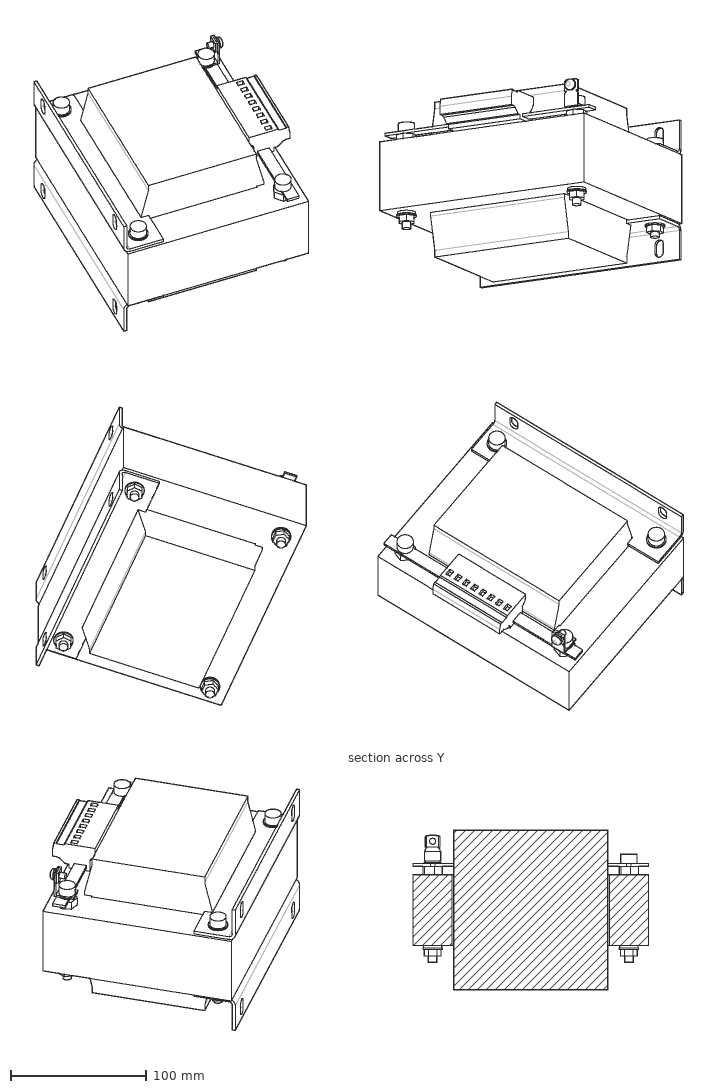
import cadquery as cq


core_x = 174.0
core_y = 145.1
core_z = 52.5
limb_width = core_x / 6
window_x = core_x - 2 * limb_width
window_y = core_y - 2 * limb_width
core_top = core_z / 2

coil_x = 114.0
coil_z = 118.0
coil_crown_y = 86.7
coil_base_y = 98.5
coil_crown_start = 54.0
coil_base_end = 29.0

sheet = 2.5
bracket_x = 169.8
bracket_top = 53.0
flange_back = -43.2
bend_inner_radius = 2.5
bend_outer_radius = bend_inner_radius + sheet
bracket_front = -core_y / 2 - sheet
slot_x = 67.7
slot_z = 42.8
slot_length = 13.0
slot_width = 7.0

bolt_x = (core_x - limb_width) / 2
bolt_y = (core_y - limb_width) / 2
head_diameter = 12.2
head_height = 6.8
stud_diameter = 6.5
nut_diameter = 12.5
nut_height = 4.7
washer_diameter = 14.5
washer_thickness = 1.0
spring_washer_diameter = 13.5
spring_washer_thickness = 2.0
front_stud_end = -38.0
rear_stud_end = -38.6
hex_turn = -20.0
rear_nut_turn = 0.0

spacer_diameter = 15.3
spacer_height = 6.1
rail_bottom = core_top + spacer_height
rail_thickness = 2.1
rail_top = rail_bottom + rail_thickness
rail_front = 55.3
rail_back = 64.9

block_x = 60.9
block_front = 48.7
block_back = core_y / 2 + 9.0
block_top = 50.6
block_bottom = 29.8
foot_front = 52.9
foot_back = 68.9
foot_front_top = 38.8
front_face_bottom = 44.9
step_y = 71.9
step_z = 33.0
underside_y = 76.0
underside_z = 37.0
nose_y = 78.6
nose_bottom = 38.0
nose_top = 44.2
lip_back = 80.5
lip_front = 78.8
lip_top = 50.0
ledge_back = 78.5
ledge_front = 72.9
ledge_z = 49.5
terminal_count = 8
terminal_pitch = 7.5
terminal_x = 3.5
terminal_y = 4.9
terminal_depth = 3.5
terminal_centre_y = 66.0

tab_x = 11.1
tab_sheet = 1.4
tab_front = 51.3
tab_back = 66.5
tab_top = 55.3
tongue_x = 8.4
tongue_corner = 1.5
tongue_shoulder = 44.9
tab_washer_diameter = 12.5
tab_washer_thickness = 0.5
tab_bottom = rail_top + tab_washer_thickness
earth_z = 50.8
earth_washer_diameter = 8.0
earth_washer_thickness = 1.4
earth_head_diameter = 8.5
earth_head_height = 2.8
earth_head_round = 2.6
earth_plate_x = 9.0
earth_plate_z = 8.5
earth_plate_y = 1.5
clamp_plate_z = 8.5
clamp_plate_corner = 1.0
earth_screw_diameter = 4.5
earth_screw_end = 59.3


def box_between(x_range, y_range, z_range):
    """Box given by its lower and upper limits along each axis."""
    (x0, x1), (y0, y1), (z0, z1) = x_range, y_range, z_range
    return cq.Workplane("XY").box(x1 - x0, y1 - y0, z1 - z0, centered=False).translate((x0, y0, z0))


def disc(x, y, bottom, diameter, height):
    """Upright cylinder standing on the height `bottom`."""
    return cq.Workplane("XY").circle(diameter / 2).extrude(height).translate((x, y, bottom))


def hexagon(x, y, bottom, corner_diameter, height, turn):
    """Upright hexagonal prism, turned about its own axis."""
    prism = cq.Workplane("XY").polygon(6, corner_diameter).extrude(height)
    return prism.rotate((0, 0, 0), (0, 0, 1), turn).translate((x, y, bottom))


def profile_along_x(points, length):
    """Closed Y-Z outline extruded symmetrically about X = 0."""
    return cq.Workplane("YZ").polyline(points).close().extrude(length / 2, both=True)


def make_core():
    core = cq.Workplane("XY").box(core_x, core_y, core_z)
    window = cq.Workplane("XY").box(window_x, window_y, core_z)
    return core.cut(window)


def make_coil():
    """Winding in the core window, with a tapered overhang above and below."""
    winding = cq.Workplane("XY").box(coil_x, window_y, core_z)
    half_crown = coil_crown_y / 2
    half_base = coil_base_y / 2
    overhang = profile_along_x(
        [
            (-half_base, core_top),
            (-half_base, coil_base_end),
            (-half_crown, coil_crown_start),
            (-half_crown, coil_z / 2),
            (half_crown, coil_z / 2),
            (half_crown, coil_crown_start),
            (half_base, coil_base_end),
            (half_base, core_top),
        ],
        coil_x,
    )
    return winding.union(overhang).union(overhang.mirror("XY"))


def make_upper_bracket():
    """Bent angle: a flange on the core and an upright plate with two slots."""
    bracket = (
        cq.Workplane("YZ")
        .moveTo(flange_back, core_top)
        .lineTo(bracket_front + bend_outer_radius, core_top)
        .radiusArc((bracket_front, core_top + bend_outer_radius), bend_outer_radius)
        .lineTo(bracket_front, bracket_top)
        .lineTo(bracket_front + sheet, bracket_top)
        .lineTo(bracket_front + sheet, core_top + bend_outer_radius)
        .radiusArc((bracket_front + bend_outer_radius, core_top + sheet), -bend_inner_radius)
        .lineTo(flange_back, core_top + sheet)
        .close()
        .extrude(bracket_x / 2, both=True)
    )
    slots = (
        cq.Workplane("XZ", origin=(0, bracket_front + sheet, 0))
        .pushPoints([(-slot_x, slot_z), (slot_x, slot_z)])
        .slot2D(slot_length, slot_width, 90)
        .extrude(sheet)
    )
    return bracket.cut(slots)


def make_front_bolt(x):
    """Bolt clamping both brackets: washer and head above, washer and nut below."""
    y = -bolt_y
    seat = core_top + sheet
    washer_bottom = -seat - washer_thickness
    nut_bottom = washer_bottom - nut_height
    return (
        disc(x, y, front_stud_end, stud_diameter, seat - front_stud_end)
        .union(disc(x, y, seat, washer_diameter, washer_thickness))
        .union(disc(x, y, seat + washer_thickness, head_diameter, head_height))
        .union(disc(x, y, washer_bottom, washer_diameter, washer_thickness))
        .union(hexagon(x, y, nut_bottom, nut_diameter, nut_height, hex_turn))
    )


def make_rear_bolt(x, head_seat):
    """Bolt carrying the rail on a spacer, with two washers and a nut below."""
    y = bolt_y
    spring_bottom = -core_top - spring_washer_thickness
    washer_bottom = spring_bottom - washer_thickness
    nut_bottom = washer_bottom - nut_height
    return (
        disc(x, y, rear_stud_end, stud_diameter, head_seat - rear_stud_end)
        .union(hexagon(x, y, core_top, spacer_diameter, spacer_height, hex_turn))
        .union(disc(x, y, head_seat, head_diameter, head_height))
        .union(disc(x, y, spring_bottom, spring_washer_diameter, spring_washer_thickness))
        .union(disc(x, y, washer_bottom, washer_diameter, washer_thickness))
        .union(hexagon(x, y, nut_bottom, nut_diameter, nut_height, rear_nut_turn))
    )


def make_rail():
    half = core_x / 2
    return box_between((-half, half), (rail_front, rail_back), (rail_bottom, rail_top))


def make_terminal_block():
    """Block straddling the rail, with a row of terminal openings in its top."""
    block = profile_along_x(
        [
            (block_front, block_top),
            (block_front, front_face_bottom),
            (foot_front, foot_front_top),
            (foot_front, block_bottom),
            (foot_back, block_bottom),
            (foot_back, step_z),
            (step_y, step_z),
            (underside_y, underside_z),
            (nose_y, nose_bottom),
            (block_back, nose_bottom),
            (block_back, nose_top),
            (lip_back, lip_top),
            (lip_front, lip_top),
            (ledge_back, ledge_z),
            (ledge_front, ledge_z),
            (step_y, block_top),
        ],
        block_x,
    )
    openings = (
        cq.Workplane("XY", origin=(0, terminal_centre_y, block_top - terminal_depth))
        .rarray(terminal_pitch, 1.7, terminal_count, 1)
        .rect(terminal_x, terminal_y)
        .extrude(terminal_depth)
    )
    return block.cut(openings)


def rod_along_y(front, back, diameter):
    """Cylinder on the axis of the earth screw."""
    plane = cq.Workplane("XZ", origin=(-bolt_x, back, earth_z))
    return plane.circle(diameter / 2).extrude(back - front)


def make_earth_terminal():
    """Angle tab under the left rear bolt head, with its clamp plate, screw and nut plate."""
    tab_sides = (-bolt_x - tab_x / 2, -bolt_x + tab_x / 2)
    inner_face = tab_back - tab_sheet
    foot = box_between(tab_sides, (tab_front, tab_back), (tab_bottom, tab_bottom + tab_sheet))
    shoulder_top = tongue_shoulder + (tab_x - tongue_x) / 2
    upright = (
        cq.Workplane("XZ", origin=(-bolt_x, tab_back, 0))
        .polyline(
            [
                (-tab_x / 2, tab_bottom),
                (-tab_x / 2, tongue_shoulder),
                (-tongue_x / 2, shoulder_top),
                (-tongue_x / 2, tab_top),
                (tongue_x / 2, tab_top),
                (tongue_x / 2, shoulder_top),
                (tab_x / 2, tongue_shoulder),
                (tab_x / 2, tab_bottom),
            ]
        )
        .close()
        .extrude(tab_sheet)
        .edges("|Y and >Z")
        .chamfer(tongue_corner)
    )
    clamp_z = (earth_z - clamp_plate_z / 2, earth_z + clamp_plate_z / 2)
    clamp_plate = box_between(tab_sides, (inner_face, tab_back), clamp_z)
    clamp_plate = clamp_plate.edges("|Y and >Z").chamfer(clamp_plate_corner)
    nut_plate = (
        cq.Workplane("XY")
        .box(earth_plate_x, earth_plate_y, earth_plate_z)
        .translate((-bolt_x, inner_face - earth_plate_y / 2, earth_z))
    )
    head_seat = tab_back + earth_washer_thickness
    head = rod_along_y(head_seat, head_seat + earth_head_height, earth_head_diameter)
    head = head.faces(">Y").edges().fillet(earth_head_round)
    return (
        disc(-bolt_x, bolt_y, rail_top, tab_washer_diameter, tab_washer_thickness)
        .union(foot)
        .union(upright)
        .union(clamp_plate)
        .union(nut_plate)
        .union(rod_along_y(tab_back, head_seat, earth_washer_diameter))
        .union(head)
        .union(rod_along_y(earth_screw_end, tab_back, earth_screw_diameter))
    )


upper_bracket = make_upper_bracket()

result = (
    make_core()
    .union(make_coil())
    .union(upper_bracket)
    .union(upper_bracket.mirror("XY"))
    .union(make_front_bolt(-bolt_x))
    .union(make_front_bolt(bolt_x))
    .union(make_rear_bolt(-bolt_x, tab_bottom + tab_sheet))
    .union(make_rear_bolt(bolt_x, rail_top))
    .union(make_rail())
    .union(make_terminal_block())
    .union(make_earth_terminal())
)